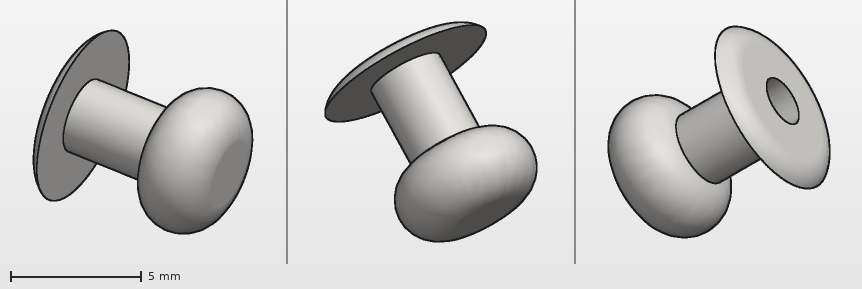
import cadquery as cq
import math

total_length = 7.05
flange_radius = 3.5
flange_face_radius = 2.5
flange_thickness = 0.55
shaft_radius = 1.5
knob_width = 3.0
knob_radius = 2.9
bore_radius = 1.0

knob_start = total_length - knob_width
knob_round = knob_width / 2
knob_flat_radius = knob_radius - knob_round
bore_depth = knob_start

edge_rise = flange_radius - flange_face_radius
edge_round = (edge_rise**2 + flange_thickness**2) / (2 * flange_thickness)
half_sweep = math.asin(edge_rise / edge_round) / 2
edge_mid = (
    edge_round * (1 - math.cos(half_sweep)),
    flange_face_radius + edge_round * math.sin(half_sweep),
)


def revolve_about_x(profile):
    return profile.close().revolve(360, (0, 0, 0), (1, 0, 0))


flange = revolve_about_x(
    cq.Workplane("XY")
    .lineTo(0, flange_face_radius)
    .threePointArc(edge_mid, (flange_thickness, flange_radius))
    .lineTo(flange_thickness, 0)
)

knob_middle = knob_start + knob_round
knob = revolve_about_x(
    cq.Workplane("XY")
    .moveTo(knob_start, 0)
    .lineTo(knob_start, knob_flat_radius)
    .threePointArc((knob_middle, knob_radius), (total_length, knob_flat_radius))
    .lineTo(total_length, 0)
)

shaft = cq.Workplane("YZ").circle(shaft_radius).extrude(knob_middle)

bore = cq.Workplane("YZ").circle(bore_radius).extrude(bore_depth)

result = flange.union(shaft).union(knob).cut(bore)